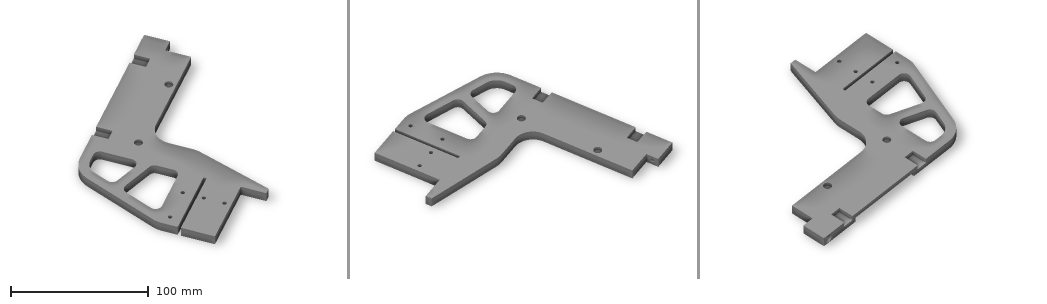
import cadquery as cq
import math

LENGTH_X = 139.71
LENGTH_Y = 180.0
THICKNESS = 8.0
MID_Z = THICKNESS / 2
NECK_WIDTH = 40.0
TAB_WIDTH = 20.0
TAB_LENGTH = 10.0
SHOULDER_Y = 80.0
SHOULDER_END_X = 77.0
NOSE_TOP_Y = 60.0
NOSE_BOTTOM_Y = 55.0
FOOT_RIGHT_X = 120.0
SLANT_RISE = 30.0
SLANT_RUN = 75.0
NECK_FILLET = 15.0
OUTER_FILLET = 20.0

SLOT_LEFT_X = 91.2
SLOT_WIDTH = 2.5

RIM = 8.0
WEB_WIDTH = 8.0
WEB_LEFT_TOP_X = 43.3
WINDOW_RIGHT_X = 73.0
WINDOW_FILLET = 5.0

SCREW_DIAMETER = 3.2
HEAD_DIAMETER = 6.5
FOOT_HOLES = [(82.5, 8.0), (82.5, 35.0), (98.75, 35.0), (114.75, 35.0)]
BLIND_X = 34.5
BLIND_YS = [73.0, 137.5]
BLIND_DEPTH = 3.0
TAB_HOLE_Y = LENGTH_Y - TAB_LENGTH / 2
TAB_HEAD_DEPTH = 10.0

POCKET_LENGTH = 12.7
POCKET_WIDTH = 9.0
POCKET_CENTRES_Y = [73.5, 153.5]
POCKET_HOLE_X = 3.75
POCKET_HOLE_SKIN = 0.2
RECESS_START_Y = 82.0
RECESS_END_Y = 145.5
RECESS_DEPTH_X = 10.0

SLOPE = SLANT_RISE / SLANT_RUN
SLANT_ANGLE = math.atan(SLOPE)


def prism(points):
    """Extrude a closed polygon through the plate thickness."""
    return cq.Workplane("XY").polyline(points).close().extrude(THICKNESS)


def box(x_min, y_min, z_min, size_x, size_y, size_z):
    """Box placed by its lowest corner."""
    return cq.Workplane("XY").box(size_x, size_y, size_z, centered=False).translate((x_min, y_min, z_min))


def fillet_at(solid, point, radius):
    """Round the vertical edge that passes through the given XY point."""
    x, y = point
    edge = cq.selectors.NearestToPointSelector((x, y, MID_Z))
    return solid.edges("|Z").edges(edge).fillet(radius)


def make_plate():
    neck_corner = (NECK_WIDTH, SHOULDER_Y)
    shoulder_corner = (SHOULDER_END_X, SHOULDER_Y)
    slant_top = (0, SLANT_RISE)
    slant_bottom = (SLANT_RUN, 0)
    plate = prism([
        slant_bottom,
        (FOOT_RIGHT_X, 0),
        (FOOT_RIGHT_X, NOSE_BOTTOM_Y),
        (LENGTH_X, NOSE_BOTTOM_Y),
        (LENGTH_X, NOSE_TOP_Y),
        shoulder_corner,
        neck_corner,
        (NECK_WIDTH, LENGTH_Y - TAB_LENGTH),
        (TAB_WIDTH, LENGTH_Y - TAB_LENGTH),
        (TAB_WIDTH, LENGTH_Y),
        (0, LENGTH_Y),
        slant_top,
    ])
    plate = fillet_at(plate, neck_corner, NECK_FILLET)
    for corner in (shoulder_corner, slant_top, slant_bottom):
        plate = fillet_at(plate, corner, OUTER_FILLET)
    return plate


def window_floor_y(x):
    """Lower window edge: the slanted plate edge moved inward by the rim width."""
    return SLANT_RISE - SLOPE * x + RIM / math.cos(SLANT_ANGLE)


def web_foot(top_x):
    """Point where a web side starting at (top_x, NOSE_BOTTOM_Y) meets the lower window edge."""
    drop = (NOSE_BOTTOM_Y - window_floor_y(top_x)) * math.cos(SLANT_ANGLE) ** 2
    return (top_x - SLOPE * drop, NOSE_BOTTOM_Y - drop)


def make_left_window():
    outer_corner = (RIM, window_floor_y(RIM))
    corners = [
        (RIM, NOSE_BOTTOM_Y),
        (WEB_LEFT_TOP_X, NOSE_BOTTOM_Y),
        web_foot(WEB_LEFT_TOP_X),
    ]
    window = prism(corners + [outer_corner])
    for corner in corners:
        window = fillet_at(window, corner, WINDOW_FILLET)
    return fillet_at(window, outer_corner, OUTER_FILLET - RIM)


def make_right_window():
    web_right_top_x = WEB_LEFT_TOP_X + WEB_WIDTH / math.cos(SLANT_ANGLE)
    corners = [
        (web_right_top_x, NOSE_BOTTOM_Y),
        (WINDOW_RIGHT_X, NOSE_BOTTOM_Y),
        (WINDOW_RIGHT_X, window_floor_y(WINDOW_RIGHT_X)),
        web_foot(web_right_top_x),
    ]
    window = prism(corners)
    for corner in corners:
        window = fillet_at(window, corner, WINDOW_FILLET)
    return window


def make_foot_holes():
    return cq.Workplane("XY").pushPoints(FOOT_HOLES).circle(SCREW_DIAMETER / 2).extrude(THICKNESS)


def make_blind_pockets():
    centres = [(BLIND_X, y) for y in BLIND_YS]
    top = cq.Workplane("XY").workplane(offset=THICKNESS)
    return top.pushPoints(centres).circle(HEAD_DIAMETER / 2).extrude(-BLIND_DEPTH)


def make_tab_hole():
    """Counterbored hole across the tab, entered from the left edge."""
    side = cq.Workplane("YZ").center(TAB_HOLE_Y, MID_Z)
    shank = side.circle(SCREW_DIAMETER / 2).extrude(TAB_WIDTH)
    head = side.circle(HEAD_DIAMETER / 2).extrude(TAB_HEAD_DEPTH)
    return shank.union(head)


def make_edge_pocket(centre_y):
    """Rectangular pocket in the upper half, open to the left edge."""
    return box(0, centre_y - POCKET_WIDTH / 2, MID_Z, POCKET_LENGTH, POCKET_WIDTH, MID_Z)


def make_pocket_hole(centre_y):
    """Screw hole from the underside that stops just below the pocket floor."""
    start = cq.Workplane("XY").center(POCKET_HOLE_X, centre_y)
    return start.circle(SCREW_DIAMETER / 2).extrude(MID_Z - POCKET_HOLE_SKIN)


def make_recess():
    """Recess in the lower half, open to the left edge and the underside."""
    return box(0, RECESS_START_Y, 0, RECESS_DEPTH_X, RECESS_END_Y - RECESS_START_Y, MID_Z)


result = make_plate()
result = result.cut(box(SLOT_LEFT_X, 0, 0, SLOT_WIDTH, NOSE_BOTTOM_Y, THICKNESS))
result = result.cut(make_left_window())
result = result.cut(make_right_window())
result = result.cut(make_foot_holes())
result = result.cut(make_blind_pockets())
result = result.cut(make_tab_hole())
for pocket_y in POCKET_CENTRES_Y:
    result = result.cut(make_edge_pocket(pocket_y))
    result = result.cut(make_pocket_hole(pocket_y))
result = result.cut(make_recess())